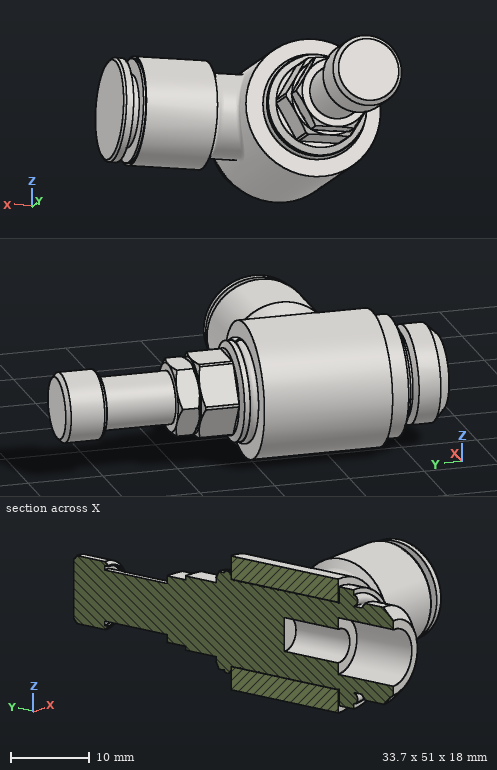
import cadquery as cq
import math


ELBOW_DIAMETER = 18.0
ELBOW_RADIUS = ELBOW_DIAMETER / 2
ELBOW_HEIGHT = 17.15
STEM_RADIUS = 5.8
BRANCH_RADIUS = 5.5
BRANCH_FILLET = 0.45
BARREL_RADIUS = 7.05
BARREL_CONE_START = 11.5
BARREL_START = 12.35
BARREL_END = 21.85
BARREL_CONE_FILLET = 0.75
EDGE_MARGIN = 0.05
BARREL_LIP_RADIUS = 6.75
BARREL_LIP = 0.3
COLLET_RADIUS = 4.75
COLLET_GAP = 1.35
COLLET_FLANGE_RADIUS = 6.75
COLLET_FLANGE_CHAMFER = 0.3
TOTAL_WIDTH = 33.7
REACH = TOTAL_WIDTH - ELBOW_RADIUS

ELBOW_TOP = ELBOW_HEIGHT / 2
ELBOW_BOTTOM = -ELBOW_TOP
STEM_BOTTOM = -17.35
COLLAR_RADIUS = 8.0
COLLAR_GAP = 0.1
COLLAR_BOTTOM = -11.0
SEAL_SECTION = 0.75
SEAL_CENTER = -10.9
RELIEF_END = -12.25
THREAD_RADIUS = 6.55
THREAD_TOP = -12.85
TIP_RADIUS = 5.0
TIP_CHAMFER = 1.6
BORE_RADIUS = 3.8
BORE_END = ELBOW_BOTTOM
SEAT_RADIUS = 2.25
SEAT_END = 0.0

CLIP_RADIUS = 6.9
CLIP_SECTION = 0.6
CLIP_SLIT = 0.35
FLANGE_RADIUS = 6.6
FLANGE_BOTTOM = 9.75
FLANGE_TOP = 10.95
FLANGE_CHAMFER = 0.45
BODY_HEX_FLATS = 10.0
BODY_HEX_CORNERS = 11.3
BODY_HEX_TOP = 15.8
NUT_FLATS = 9.0
NUT_TOP = 18.75
HEX_CHAMFER_ANGLE = 30
ROD_RADIUS = 3.45
KNOB_RADIUS = 4.6
KNOB_BOTTOM = 28.15
TOTAL_LENGTH = 51.0
KNOB_TOP = STEM_BOTTOM + TOTAL_LENGTH
KNOB_TOP_CHAMFER = 0.55
KNOB_BOTTOM_CHAMFER = 0.45
KNOB_RECESS_RADIUS = 4.0
KNOB_RECESS_DEPTH = 0.5


def disc(radius, start, end):
    """Cylinder on the Y axis from start to end."""
    return cq.Workplane("XZ", origin=(0, start, 0)).circle(radius).extrude(start - end)


def chamfered_hex(flats, start, end, chamfer_start):
    """Hexagon on the Y axis with flats facing +Z and -Z and its corners beveled at the ends."""
    corner = flats / math.sqrt(3)
    drop = (corner - flats / 2) * math.tan(math.radians(HEX_CHAMFER_ANGLE))
    hexagon = cq.Workplane("XZ", origin=(0, start, 0)).polygon(6, 2 * corner).extrude(start - end)
    envelope = cq.Workplane("XY").moveTo(0, start)
    if chamfer_start:
        envelope = envelope.lineTo(flats / 2, start).lineTo(corner, start + drop)
    else:
        envelope = envelope.lineTo(corner, start)
    envelope = envelope.lineTo(corner, end - drop).lineTo(flats / 2, end).lineTo(0, end).close()
    return hexagon.intersect(envelope.revolve(360, (0, 0), (0, 1)))


def make_branch_end():
    """Barrel and release collet of the branch, with the cone that leads up to them."""
    lip_end = BARREL_END + BARREL_LIP
    flange_start = lip_end + COLLET_GAP
    return (
        cq.Workplane("XY")
        .moveTo(BARREL_CONE_START, 0)
        .lineTo(BARREL_CONE_START, BRANCH_RADIUS)
        .lineTo(BARREL_START, BARREL_RADIUS)
        .lineTo(BARREL_END, BARREL_RADIUS)
        .lineTo(BARREL_END, BARREL_LIP_RADIUS)
        .lineTo(lip_end, BARREL_LIP_RADIUS)
        .lineTo(lip_end, COLLET_RADIUS)
        .lineTo(flange_start, COLLET_RADIUS)
        .lineTo(flange_start, COLLET_FLANGE_RADIUS)
        .lineTo(REACH - COLLET_FLANGE_CHAMFER, COLLET_FLANGE_RADIUS)
        .lineTo(REACH, COLLET_FLANGE_RADIUS - COLLET_FLANGE_CHAMFER)
        .lineTo(REACH, 0)
        .close()
        .revolve(360, (0, 0), (1, 0))
    )


def edges_between(start, end):
    """Selector for the edges around the branch whose centers lie from start to end along X."""
    return cq.selectors.BoxSelector((start, -BARREL_RADIUS, -BARREL_RADIUS), (end, BARREL_RADIUS, BARREL_RADIUS))


def make_elbow():
    """Banjo elbow with its side branch, bored through for the stem."""
    banjo = disc(ELBOW_RADIUS, ELBOW_BOTTOM, ELBOW_TOP)
    neck = cq.Workplane("YZ").circle(BRANCH_RADIUS).extrude(BARREL_CONE_START)
    joint = edges_between(EDGE_MARGIN, ELBOW_RADIUS)
    cone_start = edges_between(BARREL_CONE_START - EDGE_MARGIN, BARREL_CONE_START + EDGE_MARGIN)
    elbow = banjo.union(neck).edges(joint).fillet(BRANCH_FILLET)
    elbow = elbow.union(make_branch_end()).edges(cone_start).fillet(BARREL_CONE_FILLET)
    return elbow.cut(disc(STEM_RADIUS, ELBOW_BOTTOM, ELBOW_TOP))


def make_turned_stem():
    """Round parts of the stem, from the threaded tip up to the flange under the hexagon."""
    collar_top = ELBOW_BOTTOM - COLLAR_GAP
    seal_middle = STEM_RADIUS + SEAL_SECTION
    seal_edge = seal_middle + math.sqrt(SEAL_SECTION**2 - (SEAL_CENTER - COLLAR_BOTTOM) ** 2)
    return (
        cq.Workplane("XY")
        .moveTo(0, STEM_BOTTOM)
        .lineTo(TIP_RADIUS, STEM_BOTTOM)
        .lineTo(THREAD_RADIUS, STEM_BOTTOM + TIP_CHAMFER)
        .lineTo(THREAD_RADIUS, THREAD_TOP)
        .lineTo(STEM_RADIUS, RELIEF_END)
        .lineTo(STEM_RADIUS, SEAL_CENTER)
        .threePointArc((seal_middle, SEAL_CENTER - SEAL_SECTION), (seal_edge, COLLAR_BOTTOM))
        .lineTo(COLLAR_RADIUS, COLLAR_BOTTOM)
        .lineTo(COLLAR_RADIUS, collar_top)
        .lineTo(STEM_RADIUS, collar_top)
        .lineTo(STEM_RADIUS, FLANGE_BOTTOM)
        .lineTo(FLANGE_RADIUS, FLANGE_BOTTOM)
        .lineTo(FLANGE_RADIUS, FLANGE_TOP - FLANGE_CHAMFER)
        .lineTo(BODY_HEX_CORNERS / 2, FLANGE_TOP)
        .lineTo(0, FLANGE_TOP)
        .close()
        .revolve(360, (0, 0), (0, 1))
    )


def make_clip():
    """Round-edged retaining clip between the elbow and the flange, slit on its +Z side."""
    middle = ELBOW_TOP + CLIP_SECTION
    top = middle + CLIP_SECTION
    wire_center = CLIP_RADIUS - CLIP_SECTION
    clip = (
        cq.Workplane("XY")
        .moveTo(0, ELBOW_TOP)
        .lineTo(wire_center, ELBOW_TOP)
        .threePointArc((CLIP_RADIUS, middle), (wire_center, top))
        .lineTo(0, top)
        .close()
        .revolve(360, (0, 0), (0, 1))
    )
    slit = (
        cq.Workplane("XZ", origin=(0, ELBOW_TOP, 0))
        .center(0, (STEM_RADIUS + CLIP_RADIUS) / 2)
        .rect(CLIP_SLIT, CLIP_RADIUS - STEM_RADIUS)
        .extrude(ELBOW_TOP - top)
    )
    return clip.cut(slit)


def make_knob():
    """Chamfered knob with a shallow clearance recess where the rod enters it."""
    knob = disc(KNOB_RADIUS, KNOB_BOTTOM, KNOB_TOP)
    knob = knob.faces(">Y").chamfer(KNOB_TOP_CHAMFER).faces("<Y").chamfer(KNOB_BOTTOM_CHAMFER)
    return knob.cut(disc(KNOB_RECESS_RADIUS, KNOB_BOTTOM, KNOB_BOTTOM + KNOB_RECESS_DEPTH))


def make_stem():
    """Valve stem with its wrench hexagon, lock nut, adjusting rod and knob."""
    body_hex = chamfered_hex(BODY_HEX_FLATS, FLANGE_TOP, BODY_HEX_TOP, chamfer_start=False)
    body_hex = body_hex.intersect(disc(BODY_HEX_CORNERS / 2, FLANGE_TOP, BODY_HEX_TOP))
    lock_nut = chamfered_hex(NUT_FLATS, BODY_HEX_TOP, NUT_TOP, chamfer_start=True)
    rod = disc(ROD_RADIUS, NUT_TOP, KNOB_BOTTOM + KNOB_RECESS_DEPTH)
    stem = make_turned_stem()
    for part in (make_clip(), body_hex, lock_nut, rod, make_knob()):
        stem = stem.union(part)
    bore = disc(BORE_RADIUS, STEM_BOTTOM, BORE_END)
    seat = disc(SEAT_RADIUS, BORE_END, SEAT_END)
    return stem.cut(bore).cut(seat)


elbow = make_elbow()
stem = make_stem()
result = cq.Compound.makeCompound([elbow.solids().val(), stem.solids().val()])